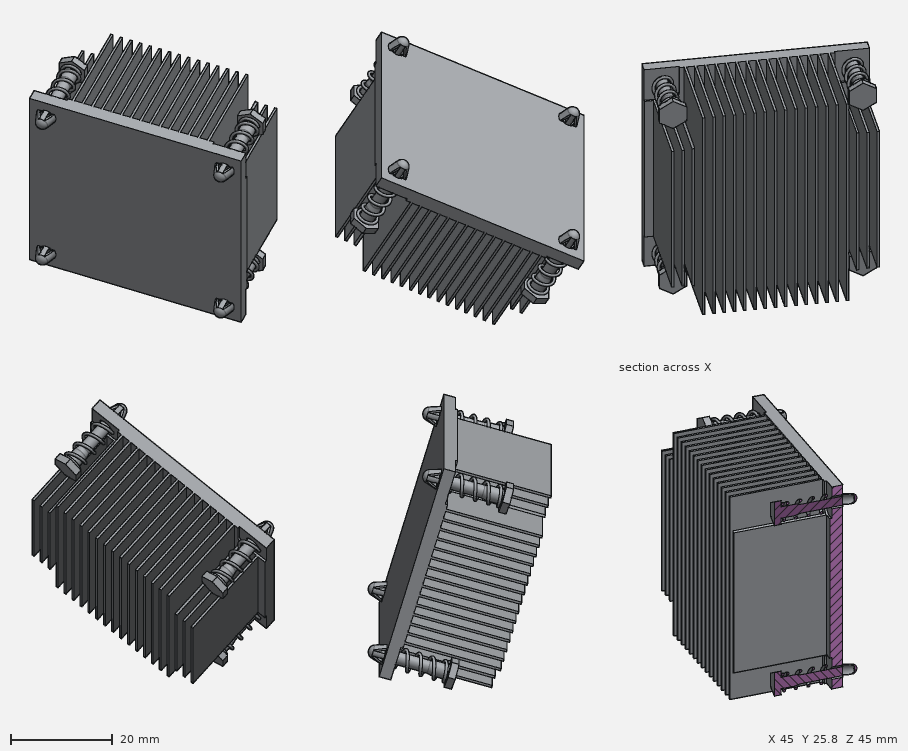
import cadquery as cq
import math

plate_side = 45.0
base_thickness = 2.85
fin_tip_y = 22.5
fin_count = 21
fin_thickness = 0.5
fin_span = 41.0
fin_pitch = fin_span / (fin_count - 1)

pocket_side = 6.98
pocket_corner_radius = 1.5
pocket_floor_y = 2.4

pin_inset = 3.55
pin_offset = plate_side / 2 - pin_inset
hole_radius = 1.55
head_across_flats = 5.4
head_thickness = 1.5
head_seat_y = 13.05
neck_radius = 1.55
neck_end_y = 10.1
shank_radius = 1.3
shank_start_y = 9.05

tip_length = 3.25
arm_length = 2.4
arm_radius = 2.05
arm_wall = 0.3
arm_width = 2.25
blade_thickness = 1.12

wire_radius = 0.3
coil_radius = 2.0
active_turns = 3.3
ramp_turns = 0.8
flat_turns = 0.35
spring_turns = active_turns + ramp_turns + flat_turns
spring_start_turn = 0.75
spring_bottom_y = pocket_floor_y + wire_radius
spring_rise = head_seat_y - wire_radius - spring_bottom_y
spring_pitch = spring_rise / (active_turns + ramp_turns / 2)
points_per_turn = 16

corners = [(x, z) for x in (-pin_offset, pin_offset) for z in (-pin_offset, pin_offset)]


def y_cylinder(radius, y_start, y_end):
    """Round bar along the Y axis."""
    return cq.Workplane("XZ", origin=(0, y_start, 0)).circle(radius).extrude(y_start - y_end)


def y_box(size_x, size_z, y_start, y_end):
    """Block centred on the Y axis."""
    return cq.Workplane("XZ", origin=(0, y_start, 0)).rect(size_x, size_z).extrude(y_start - y_end)


def make_corner_pocket(side_x, side_z):
    """Cutter for one corner, rounded only at the corner that points to the middle of the plate."""
    pocket_centre = (plate_side - pocket_side) / 2
    cutter = y_box(pocket_side, pocket_side, pocket_floor_y, fin_tip_y)
    inner_edge = f"{'<' if side_x > 0 else '>'}X and {'<' if side_z > 0 else '>'}Z"
    cutter = cutter.edges("|Y").edges(inner_edge).fillet(pocket_corner_radius)
    return cutter.translate((side_x * pocket_centre, 0, side_z * pocket_centre))


def make_heat_sink():
    body = y_box(plate_side, plate_side, 0, base_thickness)
    for index in range(fin_count):
        fin_x = index * fin_pitch - fin_span / 2
        fin = y_box(fin_thickness, plate_side, 0, fin_tip_y)
        body = body.union(fin.translate((fin_x, 0, 0)))
    for side_x in (-1, 1):
        for side_z in (-1, 1):
            body = body.cut(make_corner_pocket(side_x, side_z))
    for x, z in corners:
        body = body.cut(y_cylinder(hole_radius, 0, base_thickness).translate((x, 0, z)))
    return body


def make_pin_head():
    """Hexagonal head with two corners on the Z direction."""
    corner_diameter = head_across_flats / math.cos(math.pi / 6)
    head = cq.Workplane("XZ", origin=(0, head_seat_y, 0)).polygon(6, corner_diameter)
    return head.extrude(-head_thickness).rotate((0, 0, 0), (0, 1, 0), 90)


def make_pin_shank():
    """Revolved neck, taper and shank, down to the face of the plate."""
    return (
        cq.Workplane("XY")
        .moveTo(0, head_seat_y)
        .lineTo(neck_radius, head_seat_y)
        .lineTo(neck_radius, neck_end_y)
        .lineTo(shank_radius, shank_start_y)
        .lineTo(shank_radius, 0)
        .lineTo(0, 0)
        .close()
        .revolve(360, (0, 0, 0), (0, 1, 0))
    )


def make_snap_arms():
    """Tapered conical shell, trimmed to a strip so that only two opposite arms remain."""
    shell = (
        cq.Workplane("XY")
        .moveTo(arm_radius - arm_wall, 0)
        .lineTo(arm_radius, 0)
        .lineTo(shank_radius, -arm_length)
        .lineTo(shank_radius - arm_wall, -arm_length)
        .close()
        .revolve(360, (0, 0, 0), (0, 1, 0))
    )
    return shell.intersect(y_box(2 * arm_radius, arm_width, -arm_length, 0))


def make_pin_tip():
    blade = y_cylinder(shank_radius, -arm_length, 0)
    blade = blade.intersect(y_box(blade_thickness, 2 * shank_radius, -arm_length, 0))
    dome_height = tip_length - arm_length
    dome_sphere_radius = (shank_radius**2 + dome_height**2) / (2 * dome_height)
    dome = cq.Workplane("XY").sphere(dome_sphere_radius).translate((0, dome_sphere_radius - tip_length, 0))
    dome = dome.intersect(y_cylinder(shank_radius, -tip_length, -arm_length))
    return blade.union(make_snap_arms()).union(dome)


def make_pin():
    return make_pin_head().union(make_pin_shank()).union(make_pin_tip())


def wire_rise(turn):
    """Rise of the wire after a number of turns: full pitch, then fading out to a flat coil."""
    if turn <= active_turns:
        return spring_pitch * turn
    turns_to_flat = max(active_turns + ramp_turns - turn, 0)
    return spring_rise - spring_pitch * turns_to_flat**2 / (2 * ramp_turns)


def wire_point(turn):
    """Centre of the wire after a number of turns."""
    angle = 2 * math.pi * (spring_start_turn + turn)
    y = spring_bottom_y + wire_rise(turn)
    return cq.Vector(coil_radius * math.sin(angle), y, coil_radius * math.cos(angle))


def make_spring():
    segment_count = round(spring_turns * points_per_turn)
    points = [wire_point(spring_turns * i / segment_count) for i in range(segment_count + 1)]
    path = cq.Workplane(cq.Wire.assembleEdges([cq.Edge.makeSpline(points)]))
    start_plane = cq.Plane(origin=points[0], xDir=(1, 0, 0), normal=points[1] - points[0])
    return cq.Workplane(start_plane).circle(wire_radius).sweep(path)


heat_sink = make_heat_sink()
pin = make_pin()
spring = make_spring()

pins = []
springs = []
for x, z in corners:
    pins.append(pin.translate((x, 0, z)).val())
    springs.append(spring.translate((x, 0, z)).val())

result = cq.Compound.makeCompound([heat_sink.val(), *pins, *springs])